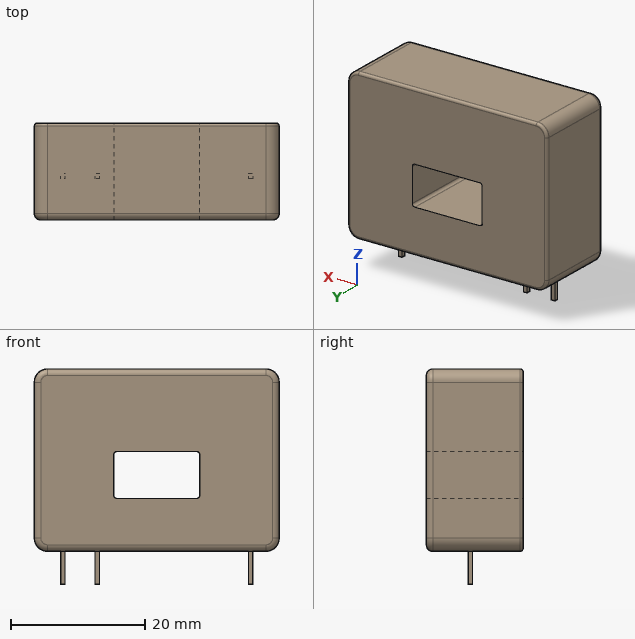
import cadquery as cq

WIDTH = 36.5
DEPTH = 14.45
TOTAL_HEIGHT = 32.1
PIN_LENGTH = 4.9
BODY_HEIGHT = TOTAL_HEIGHT - PIN_LENGTH
CORNER_RADIUS = 2.0
FRONT_FILLET = 1.0
BACK_FILLET = 0.47

WINDOW_WIDTH = 12.78
WINDOW_HEIGHT = 6.97
WINDOW_CENTER_Z = 11.4
WINDOW_RADIUS = 0.47

PIN_WIDTH = 0.7
PIN_DEPTH = 0.7
PIN_Y = -0.65
PIN_X_POSITIONS = (-13.98, -8.87, 13.98)


def make_housing():
    block = cq.Workplane("XY").box(WIDTH, DEPTH, BODY_HEIGHT, centered=(True, True, False))
    block = block.edges("|Y").fillet(CORNER_RADIUS)
    block = block.faces("<Y").edges().fillet(FRONT_FILLET)
    return block.faces(">Y").edges().fillet(BACK_FILLET)


def make_window():
    window = cq.Workplane("XY").box(WINDOW_WIDTH, DEPTH, WINDOW_HEIGHT)
    return window.edges("|Y").fillet(WINDOW_RADIUS).translate((0, 0, WINDOW_CENTER_Z))


def make_pins():
    return (
        cq.Workplane("XY")
        .pushPoints([(x, PIN_Y) for x in PIN_X_POSITIONS])
        .rect(PIN_WIDTH, PIN_DEPTH)
        .extrude(-PIN_LENGTH)
    )


result = make_housing().cut(make_window()).union(make_pins())